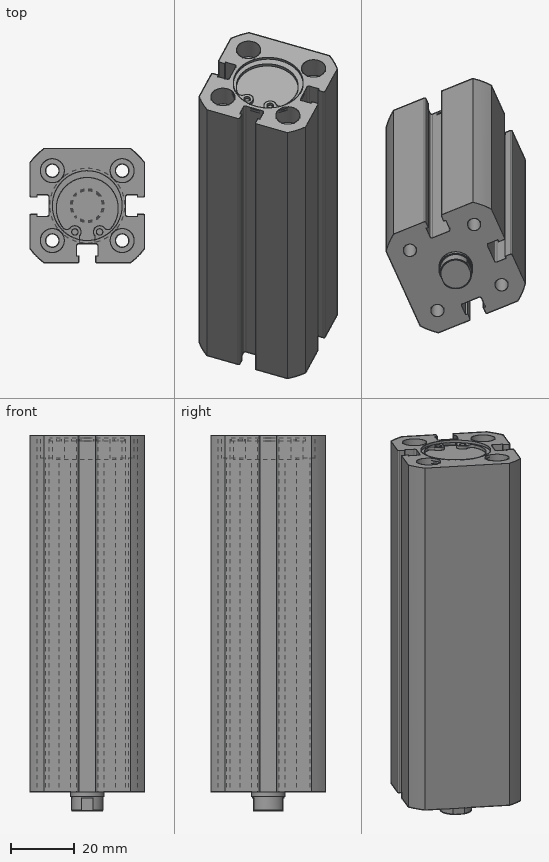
import cadquery as cq
import math


WIDTH = 36.0
LENGTH = 112.0
CORNER_RADIUS = 22.5

SLOT_MOUTH = 5.3
SLOT_WIDTH = 6.7
SLOT_FLOOR = 12.0
SLOT_LIP = 2.2
SLOT_FLOOR_FILLET = 0.6
MOUTH_ROUNDING = 0.5

HOLE_PITCH = 22.0
HOLE_DIAMETER = 4.1
COUNTERBORE_DIAMETER = 7.5
COUNTERBORE_DEPTH = 7.1

SEAT_DIAMETER = 22.0
GROOVE_BREAKTHROUGH = 0.02
GROOVE_DIAMETER = math.sqrt(2) * HOLE_PITCH - COUNTERBORE_DIAMETER + 2 * GROOVE_BREAKTHROUGH
RING_RECESS = 0.8
RING_THICKNESS = 1.0
CAP_THICKNESS = 5.9
RING_TOP = LENGTH - RING_RECESS
RING_BOTTOM = RING_TOP - RING_THICKNESS
CAP_BOTTOM = RING_BOTTOM - CAP_THICKNESS

RING_INNER_DIAMETER = 19.5
RING_OFFSET = 0.88
LUG_X = 3.9
LUG_Y = -8.3
LUG_DIAMETER = 3.9
LUG_HOLE_DIAMETER = 2.0
LUG_FILLET = 1.4
RING_GAP = 4.7

ROD_DIAMETER = 10.6
SHOULDER_LENGTH = 1.5
TIP_DIAMETER = 9.9
ROD_PROJECTION = 118 - LENGTH
TIP_CHAMFER = 0.2
FLATS_WIDTH = 9.2
FLATS_LENGTH = 4.1


def cylinder(diameter, bottom, top):
    return cq.Workplane("XY").workplane(offset=bottom).circle(diameter / 2).extrude(top - bottom)


def make_slot():
    """Cutter for the slot in the -Y face: a narrow mouth that opens into a wider channel."""
    face_y = -WIDTH / 2
    lip_y = face_y + SLOT_LIP
    channel_depth = -SLOT_FLOOR - lip_y
    half_mouth = SLOT_MOUTH / 2
    half_flare = half_mouth + MOUTH_ROUNDING
    rounding_y = face_y + MOUTH_ROUNDING
    mouth = (
        cq.Workplane("XY")
        .moveTo(half_flare, face_y)
        .radiusArc((half_mouth, rounding_y), MOUTH_ROUNDING)
        .lineTo(half_mouth, lip_y)
        .lineTo(-half_mouth, lip_y)
        .lineTo(-half_mouth, rounding_y)
        .radiusArc((-half_flare, face_y), MOUTH_ROUNDING)
        .close()
        .extrude(LENGTH)
    )
    channel = (
        cq.Workplane("XY")
        .center(0, lip_y + channel_depth / 2)
        .rect(SLOT_WIDTH, channel_depth)
        .extrude(LENGTH)
        .edges("|Z and >Y")
        .fillet(SLOT_FLOOR_FILLET)
    )
    return mouth.union(channel)


def make_housing():
    body = cq.Workplane("XY").rect(WIDTH, WIDTH).extrude(LENGTH)
    body = body.intersect(cylinder(2 * CORNER_RADIUS, 0, LENGTH))
    for angle in (-90, 0, 90):
        body = body.cut(make_slot().rotate((0, 0, 0), (0, 0, 1), angle))
    body = (
        body.faces(">Z")
        .workplane(origin=(0, 0, LENGTH))
        .rect(HOLE_PITCH, HOLE_PITCH, forConstruction=True)
        .vertices()
        .cboreHole(HOLE_DIAMETER, COUNTERBORE_DIAMETER, COUNTERBORE_DEPTH)
    )
    body = body.cut(cylinder(SEAT_DIAMETER, CAP_BOTTOM, LENGTH))
    body = body.cut(cylinder(GROOVE_DIAMETER, RING_BOTTOM, RING_TOP))
    return body.cut(cylinder(ROD_DIAMETER, 0, CAP_BOTTOM))


def make_cap():
    return cylinder(SEAT_DIAMETER, CAP_BOTTOM, RING_BOTTOM)


def ring_block(center_x, start_y, width):
    """Block as thick as the ring, running from start_y in the -Y direction past its outer edge."""
    return (
        cq.Workplane("XY")
        .workplane(offset=RING_BOTTOM)
        .center(center_x, start_y - GROOVE_DIAMETER / 2)
        .rect(width, GROOVE_DIAMETER)
        .extrude(RING_THICKNESS)
    )


def make_ring():
    """Ring that thins towards an open gap at -Y, with a drilled lug at each end."""
    disc = cylinder(GROOVE_DIAMETER, RING_BOTTOM, RING_TOP)
    opening = cylinder(RING_INNER_DIAMETER, RING_BOTTOM, RING_TOP).translate((0, -RING_OFFSET, 0))
    gap = ring_block(0, 0, RING_GAP)
    ring = disc.cut(opening).cut(gap)
    foot_width = LUG_X - RING_GAP / 2
    for side in (-1, 1):
        lug = cylinder(LUG_DIAMETER, RING_BOTTOM, RING_TOP).translate((side * LUG_X, LUG_Y, 0))
        foot = ring_block(side * (LUG_X - foot_width / 2), LUG_Y, foot_width)
        ring = ring.union(lug).union(foot.intersect(disc))
    ring = ring.edges("|Z").edges("<X or >X").fillet(LUG_FILLET)
    for side in (-1, 1):
        lug_hole = cylinder(LUG_HOLE_DIAMETER, RING_BOTTOM, RING_TOP)
        ring = ring.cut(lug_hole.translate((side * LUG_X, LUG_Y, 0)))
    return ring


def make_rod():
    """Stepped rod: a full-diameter shank and a slimmer tip with two wrench flats."""
    shoulder_z = -SHOULDER_LENGTH
    tip = cylinder(TIP_DIAMETER, -ROD_PROJECTION, shoulder_z).faces("<Z").chamfer(TIP_CHAMFER)
    for side in (-1, 1):
        flat = (
            cq.Workplane("XY")
            .workplane(offset=-ROD_PROJECTION)
            .center(0, side * (FLATS_WIDTH + TIP_DIAMETER) / 2)
            .rect(TIP_DIAMETER, TIP_DIAMETER)
            .extrude(FLATS_LENGTH)
        )
        tip = tip.cut(flat)
    return cylinder(ROD_DIAMETER, shoulder_z, CAP_BOTTOM).union(tip)


housing = make_housing()
cap = make_cap()
ring = make_ring()
rod = make_rod()

result = cq.Compound.makeCompound([housing.val(), cap.val(), ring.val(), rod.val()])